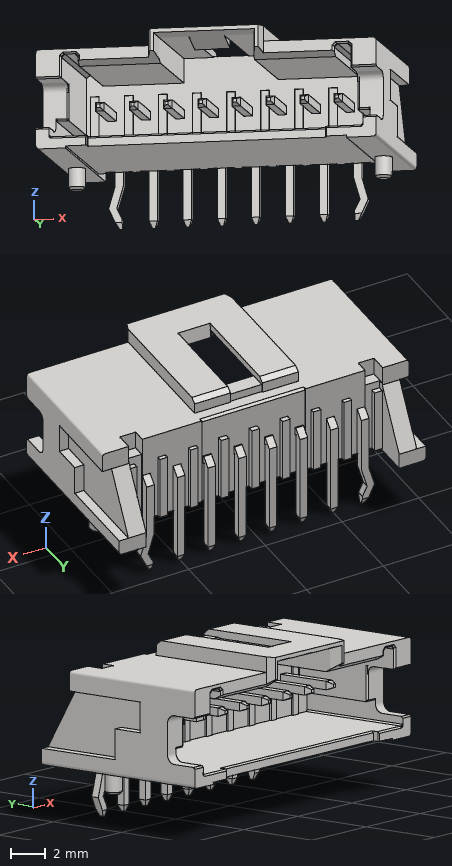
import cadquery as cq
import math


half_width = 10.0
roof_z = 5.8
wall_back_y = 8.95
side_back_y = 9.2
ear_back_y = 11.25
ear_top_z = 1.0
ear_inner_x = 8.25
foot_lift = 0.12
outer_round = 0.2

recess_depth = 0.6
recess_top_z = 4.6
recess_step_z = 2.8
recess_upper_front_y = 4.0
recess_lower_front_y = 5.85

notch_depth = 2.0
notch_bottom_z = 1.25
notch_top_z = 4.1
notch_round = 0.5
notch_bevel = 0.1

cavity_depth = 7.0
floor_z = 0.7
foot_half_width = 9.22
foot_top_z = 1.97
cavity_half_width = 8.49
key_inner_x = 7.52
key_top_z = 5.5
key_corner = 0.2
ceiling_z = 4.82
mouth_chamfer = 0.1
floor_corner_bevel = 0.1
lead_in_depth = 0.5
floor_relief_half_width = 7.07
floor_relief_depth = 0.4
floor_relief_bevel = 0.07

bridge_half_width = 3.38
bridge_top_z = 6.7
bridge_front_y = -0.5
bridge_back_y = 8.08
bridge_front_z = 5.4
bridge_corner_x = 0.2
bridge_back_chamfer_y = 0.34
bridge_back_chamfer_z = 0.25
tunnel_half_width = 2.77
tunnel_top_z = 6.25
tunnel_flare = 0.2

window_half_width = 1.04
lip_top_y = 1.72
lip_bottom_y = 1.86
lip_bottom_z = 5.78
lip_drop = tunnel_top_z + tunnel_flare - lip_bottom_z
tunnel_flare_depth = tunnel_flare * (lip_bottom_y - bridge_front_y) / lip_drop
window_ledge_z = 6.3
ledge_back_y = 8.0

pocket_inner_x = 7.26
pocket_outer_x = 8.28
pocket_front_y = 8.13
recessed_back_y = 8.87
pocket_floor_z = 4.7
edge_bevel = 0.14

pitch = 2.0
pin_count = 8
pin_size = 0.5
pin_z = 3.0
pin_front_y = 3.25
pin_leg_y = 9.2
pin_bottom_z = -3.2
pin_tip_length = 0.4
pin_tip_size = 0.2
kink_offset = 0.38
kink_start_z = -0.7
kink_middle_z = -1.98
kink_outer_end_z = -2.8
kink_inner_end_z = -2.6
kink_inner_inset = 0.07
rib_width = 0.5
rib_top_z = 4.2
rib_front_y = 6.88
peg_diameter = 1.0
peg_x = 9.0
peg_y = 6.74
peg_bottom_z = -1.25
peg_chamfer = 0.15

SIDES = (-1, 1)


def block(x0, x1, y0, y1, z0, z1):
    """Axis-aligned box between two corners given in any order."""
    size = (abs(x1 - x0), abs(y1 - y0), abs(z1 - z0))
    center = ((x0 + x1) / 2, (y0 + y1) / 2, (z0 + z1) / 2)
    return cq.Workplane("XY").box(*size).translate(center)


def prism_x(points, x0, x1):
    """Extrude a (y, z) outline from x0 to x1."""
    start = min(x0, x1)
    return cq.Workplane("YZ", origin=(start, 0, 0)).polyline(points).close().extrude(abs(x1 - x0))


def prism_y(points, y0, y1, taper=0.0):
    """Extrude an (x, z) outline from y0 toward +Y to y1, narrowing by the taper angle."""
    plane = cq.Plane(origin=(0, y0, 0), xDir=(-1, 0, 0), normal=(0, 1, 0))
    local_points = [(-x, z) for x, z in points]
    return cq.Workplane(plane).polyline(local_points).close().extrude(y1 - y0, taper=taper)


def mirrored_outline(right_half):
    """Close a right-hand (x, z) outline with its mirror image about x = 0."""
    return right_half + [(-x, z) for x, z in reversed(right_half)]


def make_shell():
    """Solid housing: middle block plus side walls that run back into sloped ears."""
    side_profile = [
        (0, 0), (ear_back_y, 0), (ear_back_y, ear_top_z),
        (side_back_y, recess_top_z), (side_back_y, roof_z), (0, roof_z),
    ]
    shell = block(-half_width, half_width, 0, wall_back_y, 0, roof_z)
    for side in SIDES:
        shell = shell.union(prism_x(side_profile, side * ear_inner_x, side * half_width))
    for side in (">X", "<X"):
        shell = shell.faces(side).edges("|Y").edges("<Z or >Z").fillet(outer_round)
    return shell.cut(block(-ear_inner_x, ear_inner_x, 0, ear_back_y, 0, foot_lift))


def make_bridge():
    """Raised latch bridge, with bevelled rear edge and front corners, overhanging the mouth."""
    profile = [
        (bridge_front_y, bridge_front_z), (bridge_front_y, bridge_top_z),
        (bridge_back_y - bridge_back_chamfer_y, bridge_top_z),
        (bridge_back_y, bridge_top_z - bridge_back_chamfer_z),
        (bridge_back_y, ceiling_z), (lead_in_depth, ceiling_z),
    ]
    nose_half_width = bridge_half_width - bridge_corner_x
    plan = [
        (-nose_half_width, bridge_front_y), (nose_half_width, bridge_front_y),
        (bridge_half_width, 0), (bridge_half_width, bridge_back_y),
        (-bridge_half_width, bridge_back_y), (-bridge_half_width, 0),
    ]
    bridge = prism_x(profile, -bridge_half_width, bridge_half_width)
    return bridge.intersect(cq.Workplane("XY").polyline(plan).close().extrude(bridge_top_z))


def cavity_outline(margin):
    """Cavity outline with its floor, steps and keyways grown by a margin; the side feet keep their width."""
    outer_x = cavity_half_width + margin
    inner_x = key_inner_x - margin
    top = key_top_z + margin
    floor = floor_z - margin
    return mirrored_outline([
        (foot_half_width - floor_corner_bevel, floor), (foot_half_width, floor + floor_corner_bevel),
        (foot_half_width, foot_top_z + margin),
        (outer_x, foot_top_z + margin), (outer_x, top - key_corner),
        (outer_x - key_corner, top), (inner_x + key_corner, top),
        (inner_x, top - key_corner), (inner_x, ceiling_z),
    ])


def cut_floor_relief(body):
    """Set the front edge of the floor back between its two ends and bevel it."""
    outer_x = floor_relief_half_width
    inner_x = outer_x - floor_relief_bevel
    plan = [
        (-outer_x, 0), (outer_x, 0), (inner_x, floor_relief_bevel), (inner_x, floor_relief_depth),
        (-inner_x, floor_relief_depth), (-inner_x, floor_relief_bevel),
    ]
    body = body.cut(cq.Workplane("XY").polyline(plan).close().extrude(floor_z))
    bevel = [
        (floor_relief_depth, floor_z), (floor_relief_depth + mouth_chamfer, floor_z),
        (floor_relief_depth, floor_z - mouth_chamfer),
    ]
    return body.cut(prism_x(bevel, -inner_x, inner_x))


def cut_cavity(body):
    """Mating cavity with a bevelled mouth and a sloped lead-in under the roof."""
    body = body.cut(prism_y(cavity_outline(0), bridge_front_y, cavity_depth))
    mouth_flare = prism_y(cavity_outline(mouth_chamfer), 0, mouth_chamfer, taper=45)
    body = body.cut(mouth_flare)
    notch_band = block(-half_width, half_width, 0, notch_depth, foot_top_z, notch_top_z)
    body = body.cut(mouth_flare.intersect(notch_band).translate((0, notch_depth, 0)))
    lead_in = [
        (bridge_front_y, ceiling_z), (bridge_front_y, bridge_front_z), (lead_in_depth, ceiling_z),
    ]
    body = body.cut(prism_x(lead_in, -key_inner_x, key_inner_x))
    return cut_floor_relief(body)


def tunnel_outline(half, top):
    """Rectangle (x, z) of the latch tunnel above the cavity ceiling."""
    return [(-half, ceiling_z), (half, ceiling_z), (half, top), (-half, top)]


def cut_tunnel_and_window(body):
    """Latch tunnel under the bridge, leaving a ramped lip, and the window behind the lip."""
    tunnel = prism_y(tunnel_outline(tunnel_half_width, tunnel_top_z), bridge_front_y, cavity_depth)
    flare_outline = tunnel_outline(tunnel_half_width + tunnel_flare, tunnel_top_z + tunnel_flare)
    flare_angle = math.degrees(math.atan2(tunnel_flare, tunnel_flare_depth))
    flare = prism_y(flare_outline, bridge_front_y, bridge_front_y + tunnel_flare_depth, flare_angle)
    body = body.cut(tunnel).cut(flare)

    lip = [
        (bridge_front_y, tunnel_top_z + tunnel_flare), (lip_bottom_y, lip_bottom_z),
        (lip_top_y, bridge_top_z), (bridge_front_y, bridge_top_z),
    ]
    body = body.union(prism_x(lip, -window_half_width, window_half_width))
    window = [
        (lip_bottom_y, lip_bottom_z), (cavity_depth, lip_bottom_z), (cavity_depth, window_ledge_z),
        (ledge_back_y, window_ledge_z), (ledge_back_y, roof_z),
        (bridge_back_y, roof_z), (bridge_back_y, bridge_top_z), (lip_top_y, bridge_top_z),
    ]
    return body.cut(prism_x(window, -window_half_width, window_half_width))


def cut_sides(body):
    """Stepped outer recess and rounded front notch of both side walls."""
    for side in SIDES:
        outer = side * half_width
        inner = side * (half_width - recess_depth)
        body = body.cut(block(inner, outer, recess_upper_front_y, ear_back_y, recess_step_z, recess_top_z))
        body = body.cut(block(inner, outer, recess_lower_front_y, ear_back_y, ear_top_z, recess_step_z))
    notch = block(-half_width, half_width, 0, notch_depth, notch_bottom_z, notch_top_z)
    notch = notch.faces(">Y").edges("|X").fillet(notch_round)
    body = body.cut(notch)
    bevel = [
        (0, notch_bottom_z - notch_bevel), (notch_bevel, notch_bottom_z),
        (notch_bevel, notch_top_z), (0, notch_top_z + notch_bevel),
    ]
    return body.cut(prism_x(bevel, -half_width, half_width))


def cut_roof_back(body):
    """Corner pockets in the back edge of the roof and the recessed, bevelled stretch behind the bridge."""
    for side in SIDES:
        inner = side * pocket_inner_x
        outer = side * pocket_outer_x
        body = body.cut(block(inner, outer, pocket_front_y, side_back_y, pocket_floor_z, roof_z))
        body = body.cut(block(inner, side * ear_inner_x, recessed_back_y, side_back_y, foot_lift, roof_z))
    edge = [
        (recessed_back_y - edge_bevel, roof_z), (recessed_back_y, roof_z - edge_bevel),
        (recessed_back_y, foot_lift), (side_back_y, foot_lift), (side_back_y, roof_z),
    ]
    return body.cut(prism_x(edge, -bridge_half_width, bridge_half_width))


def make_ribs():
    """Ribs between the contacts, standing proud of both faces of the back wall."""
    first_x = -pin_count / 2 * pitch
    ribs = cq.Workplane("XY")
    for index in range(pin_count + 1):
        x = first_x + index * pitch
        rib = block(x - rib_width / 2, x + rib_width / 2, rib_front_y, side_back_y, foot_lift, rib_top_z)
        ribs = ribs.union(rib)
    return ribs


def tapered_tip(plane):
    """Pyramid-shaped pin tip growing from the plane along its normal."""
    tip = cq.Workplane(plane).rect(pin_size, pin_size)
    return tip.workplane(offset=pin_tip_length).rect(pin_tip_size, pin_tip_size).loft(combine=True)


def make_contact_arm(x):
    """Horizontal contact with a tapered front and a bevelled bend at the back."""
    shank_front_y = pin_front_y + pin_tip_length
    half = pin_size / 2
    back_y = pin_leg_y + half
    profile = [
        (shank_front_y, pin_z - half), (back_y, pin_z - half),
        (back_y - pin_size, pin_z + half), (shank_front_y, pin_z + half),
    ]
    plane = cq.Plane(origin=(x, shank_front_y, pin_z), xDir=(1, 0, 0), normal=(0, -1, 0))
    return prism_x(profile, x - half, x + half).union(tapered_tip(plane))


def make_straight_leg(x):
    """Vertical square leg with a tapered tip."""
    half = pin_size / 2
    shank_bottom_z = pin_bottom_z + pin_tip_length
    leg = block(x - half, x + half, pin_leg_y - half, pin_leg_y + half, shank_bottom_z, pin_z - half)
    plane = cq.Plane(origin=(x, pin_leg_y, shank_bottom_z), xDir=(1, 0, 0), normal=(0, 0, -1))
    return leg.union(tapered_tip(plane))


def make_kinked_leg(x, side):
    """Retention leg that bows outward and comes back in line above its tapered tip."""
    half = pin_size / 2
    tip_half = pin_tip_size / 2
    outer_x = x + side * half
    inner_x = x - side * half
    bow = side * kink_offset
    tip_inner_x = inner_x + side * kink_inner_inset
    outline = [
        (outer_x, pin_z - half), (outer_x, kink_start_z), (outer_x + bow, kink_middle_z),
        (outer_x, kink_outer_end_z), (tip_inner_x + side * pin_tip_size, pin_bottom_z),
        (tip_inner_x, pin_bottom_z), (tip_inner_x, kink_inner_end_z),
        (inner_x + bow, kink_middle_z), (inner_x, kink_start_z), (inner_x, pin_z - half),
    ]
    leg = prism_y(outline, pin_leg_y - half, pin_leg_y + half)
    shank_bottom_z = pin_bottom_z + pin_tip_length
    side_profile = [
        (pin_leg_y - half, pin_z), (pin_leg_y - half, shank_bottom_z),
        (pin_leg_y - tip_half, pin_bottom_z), (pin_leg_y + tip_half, pin_bottom_z),
        (pin_leg_y + half, shank_bottom_z), (pin_leg_y + half, pin_z),
    ]
    return leg.intersect(prism_x(side_profile, -half_width, half_width))


def make_pins():
    """Row of contacts; the two end contacts have kinked legs."""
    end_x = (pin_count - 1) / 2 * pitch
    pins = cq.Workplane("XY")
    for index in range(pin_count):
        x = index * pitch - end_x
        pins = pins.union(make_contact_arm(x))
        if abs(x) == end_x:
            pins = pins.union(make_kinked_leg(x, math.copysign(1, x)))
        else:
            pins = pins.union(make_straight_leg(x))
    return pins


def make_pegs():
    """Locating pegs under the side walls."""
    peg_length = ear_top_z / 2 - peg_bottom_z
    pegs = cq.Workplane("XY", origin=(0, peg_y, peg_bottom_z))
    pegs = pegs.pushPoints([(side * peg_x, 0) for side in SIDES])
    return pegs.circle(peg_diameter / 2).extrude(peg_length).faces("<Z").chamfer(peg_chamfer)


body = make_shell().union(make_bridge())
body = cut_cavity(body)
body = cut_tunnel_and_window(body)
body = cut_sides(body)
body = cut_roof_back(body)
result = body.union(make_ribs()).union(make_pegs()).union(make_pins())